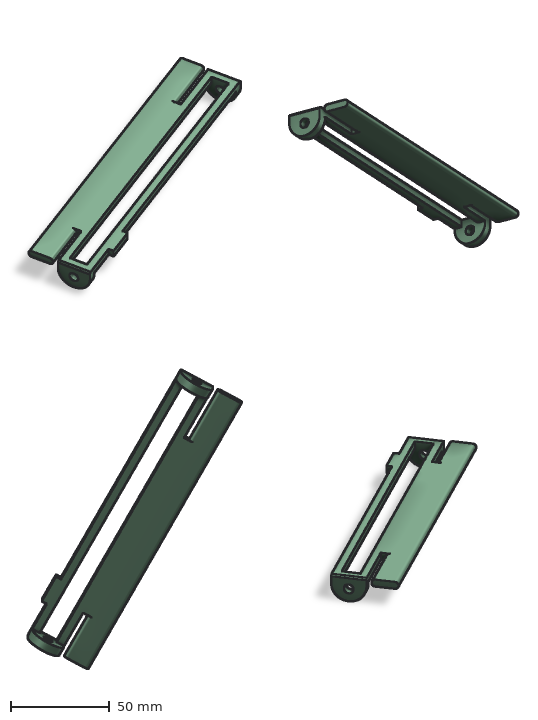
import cadquery as cq

length = 160.0
total_width = 38.0
total_height = 14.0
thickness = 4.0
edge_radius = thickness / 2

strip_width = 14.0
frame_left = 16.8
frame_width = 18.4
frame_right = frame_left + frame_width
frame_center = frame_left + frame_width / 2
near_notch_length = 24.8
far_notch_length = 30.0
window_width = 9.8

lug_thickness = 5.0
lug_radius = frame_width / 2
lug_axis_depth = total_height - lug_radius
pin_diameter = 5.0
pin_depth = 7.0
top_chamfer = 1.0

tab_start = 20.0
tab_length = 14.9


def slab(x_start, x_end, y_start, y_end):
    """Rectangular piece of the plate at full thickness."""
    size = (x_end - x_start, y_end - y_start, thickness)
    return cq.Workplane("XY").box(*size, centered=False).translate((x_start, y_start, -thickness))


def grip_strip():
    """Full-length strip with both long edges fully rounded."""
    return (
        cq.Workplane("XZ", origin=(0, length, 0))
        .moveTo(edge_radius, 0)
        .lineTo(strip_width - edge_radius, 0)
        .threePointArc((strip_width, -edge_radius), (strip_width - edge_radius, -thickness))
        .lineTo(edge_radius, -thickness)
        .threePointArc((0, -edge_radius), (edge_radius, 0))
        .close()
        .extrude(length)
    )


def lug(y_start):
    """Round-bottomed lug hanging from the frame."""
    return (
        cq.Workplane("XZ", origin=(0, y_start + lug_thickness, 0))
        .moveTo(frame_left, 0)
        .lineTo(frame_left, -lug_axis_depth)
        .threePointArc((frame_center, -total_height), (frame_right, -lug_axis_depth))
        .lineTo(frame_right, 0)
        .close()
        .extrude(lug_thickness)
    )


def frame():
    """Window frame with its two lugs, chamfered along the top end edges."""
    body = slab(frame_left, frame_right, 0, length)
    for y_start in (0, length - lug_thickness):
        body = body.union(lug(y_start))
    body = body.faces(">Z").edges("|X").chamfer(top_chamfer)
    window = slab(
        frame_center - window_width / 2,
        frame_center + window_width / 2,
        lug_thickness,
        length - lug_thickness,
    )
    pin_hole = (
        cq.Workplane("XZ", origin=(0, length, 0))
        .center(frame_center, -pin_depth)
        .circle(pin_diameter / 2)
        .extrude(length)
    )
    return body.cut(window).cut(pin_hole)


bridge = slab(strip_width - edge_radius, frame_left, near_notch_length, length - far_notch_length)
tab = slab(frame_right, total_width, tab_start, tab_start + tab_length)

result = grip_strip().union(bridge).union(frame()).union(tab)